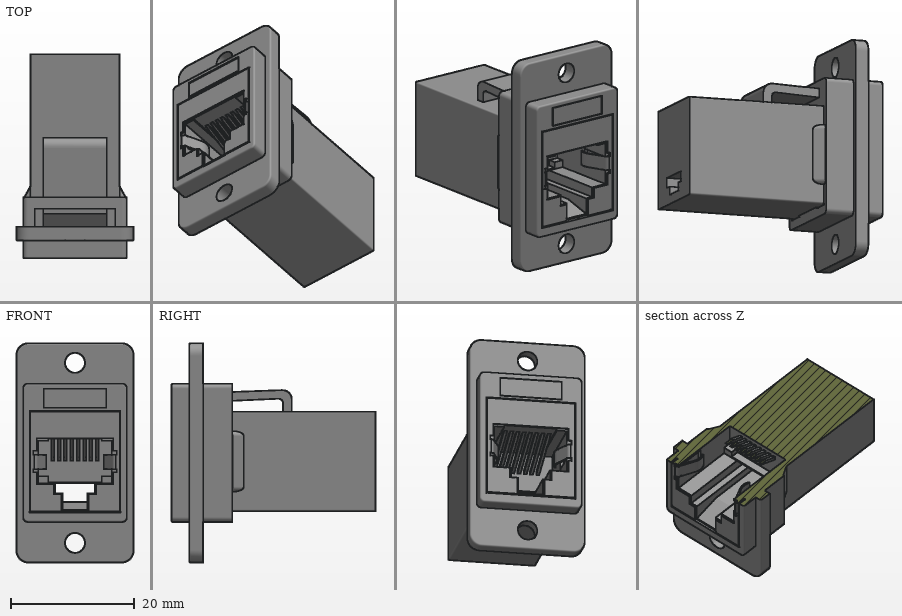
import cadquery as cq


FLANGE_WIDTH = 19.0
FLANGE_HEIGHT = 35.5
FLANGE_FRONT = 2.88
FLANGE_BACK = 5.15
FLANGE_CORNER = 2.0
SCREW_HOLE_DIAMETER = 3.2
SCREW_SPACING = 29.1
EDGE_ROUND = 0.3

BEZEL_WIDTH = 16.8
BEZEL_HEIGHT = 22.35
BEZEL_DEPTH = 9.87
BEZEL_CORNER = 0.78
LABEL_WIDTH = 10.1
LABEL_BOTTOM = 7.28
LABEL_TOP = 10.33
LABEL_DEPTH = 0.18

TOTAL_DEPTH = 33.0
BODY_WIDTH = 14.4
BODY_TOP = 6.67
BODY_BOTTOM = -9.45
CLEARANCE = 0.15
BOTTOM_CLEARANCE = 0.2
GROOVE_DEPTH = 1.42
SUPPORT_WIDTH = 8.1

CAVITY_WIDTH = 11.93
CAVITY_TOP = 2.27
CAVITY_FLOOR = -4.95
CAVITY_DEPTH = 12.78
LATCH_SLOT_WIDTH = 6.4
LATCH_SLOT_FLOOR = -6.55
KEY_SLOT_WIDTH = 4.0
KEY_SLOT_FLOOR = -7.9
RAMP_START = -9.2
RAMP_DEPTH = 4.97
MOUTH_STEP_SIDE = 0.25
MOUTH_STEP_HEIGHT = 0.1
MOUTH_STEP_TOP = 0.07
MOUTH_DEPTH = 0.3
CORNER_INNER = 4.33
CORNER_BLOCK_TOP = -3.75
UPPER_STRIP_BOTTOM = 2.0
BRIDGE_TOP = -4.72
REAR_BLOCK_DEPTH = 1.42

CONTACT_COUNT = 8
CONTACT_PITCH = 1.03
CONTACT_WIDTH = 0.5
CONTACT_TIP = -1.28
CONTACT_START = 2.85
CONTACT_THICKNESS = 0.55

NOTCH_HALF_WIDTH = 6.7
NOTCH_TOP = 0.32
NOTCH_BOTTOM = -3.15
NOTCH_DEPTH = 0.3
SPRING_CHANNEL_DEPTH = 5.68
SPRING_TOP = -0.32
SPRING_BOTTOM = -2.63
SPRING_THICKNESS = 0.25
SPRING_ROOT = 6.55
SPRING_FRONT = 0.07
SPRING_BEND = (6.05, 0.43)
SPRING_KNEE = (4.85, 3.0)
SPRING_APEX = (4.6, 4.1)

WING_TOP = 3.5
WING_BOTTOM = -6.3
WING_HALF_WIDTH = 8.15
WING_SLOPE_START = 9.95
WING_END = 11.7
WING_ROUND = 0.8

ARM_WIDTH = 10.3
ARM_REAR = 19.5
ARM_THICKNESS = 1.45
ARM_TOP_REAR = 10.22
ARM_TOP_FRONT = 9.75
ARM_NOSE = 7.2
ARM_OUTER_ROUND = 1.55
ARM_INNER_ROUND = 0.7
WINDOW_WIDTH = 13.05
WINDOW_FRONT = 4.25
WINDOW_BACK = 8.05


def box(x0, x1, y0, y1, z0, z1):
    """Block spanning the given ranges."""
    return cq.Workplane("XY").box(x1 - x0, y1 - y0, z1 - z0, centered=False).translate((x0, y0, z0))


def centred_box(width, y0, y1, z0, z1):
    """Block centred on X = 0."""
    return box(-width / 2, width / 2, y0, y1, z0, z1)


def both_sides(shape):
    """The shape together with its mirror image across X = 0."""
    return shape.union(shape.mirror("YZ"))


def side_profile(points, width, x=0.0):
    """Extrude a closed (y, z) outline along X, centred on x."""
    return cq.Workplane("YZ").polyline(points).close().extrude(width / 2, both=True).translate((x, 0, 0))


def rounded_plate(width, height, y0, y1, corner):
    """Plate with round corners and a softened front rim."""
    plate = centred_box(width, y0, y1, -height / 2, height / 2)
    return plate.edges("|Y").fillet(corner).faces("<Y").edges().fillet(EDGE_ROUND)


def make_flange():
    flange = rounded_plate(FLANGE_WIDTH, FLANGE_HEIGHT, FLANGE_FRONT, FLANGE_BACK, FLANGE_CORNER)
    for z in (-SCREW_SPACING / 2, SCREW_SPACING / 2):
        hole = cq.Workplane("XZ").center(0, z).circle(SCREW_HOLE_DIAMETER / 2).extrude(-FLANGE_BACK)
        flange = flange.cut(hole)
    return flange


def make_bezel():
    bezel = rounded_plate(BEZEL_WIDTH, BEZEL_HEIGHT, 0, BEZEL_DEPTH, BEZEL_CORNER)
    return bezel.cut(centred_box(LABEL_WIDTH, 0, LABEL_DEPTH, LABEL_BOTTOM, LABEL_TOP))


def make_clearance():
    """Groove around the jack, open to the rear on either side of a support below it."""
    opening_width = BODY_WIDTH + 2 * CLEARANCE
    opening_bottom = BODY_BOTTOM - BOTTOM_CLEARANCE
    groove = centred_box(opening_width, 0, GROOVE_DEPTH, BODY_BOTTOM, BODY_TOP + CLEARANCE)
    groove = groove.cut(centred_box(BODY_WIDTH, 0, GROOVE_DEPTH, BODY_BOTTOM, BODY_TOP))
    gap = centred_box(opening_width, 0, BEZEL_DEPTH, opening_bottom, BODY_BOTTOM)
    support = centred_box(SUPPORT_WIDTH, GROOVE_DEPTH, BEZEL_DEPTH, opening_bottom, BODY_BOTTOM)
    return groove.union(gap).cut(support)


def make_body():
    """Jack body, sharp-edged inside the bezel and rounded behind it."""
    front = centred_box(BODY_WIDTH, 0, BEZEL_DEPTH, BODY_BOTTOM, BODY_TOP)
    rear = centred_box(BODY_WIDTH, BEZEL_DEPTH, TOTAL_DEPTH, BODY_BOTTOM, BODY_TOP)
    return front.union(rear.edges("|Y").fillet(EDGE_ROUND))


def make_mouth():
    """Shallow stepped mouth, slightly larger than the cavity behind it."""
    right = [
        (CAVITY_WIDTH / 2, CAVITY_TOP + MOUTH_STEP_TOP),
        (CAVITY_WIDTH / 2, CAVITY_FLOOR - MOUTH_STEP_HEIGHT),
        (LATCH_SLOT_WIDTH / 2, CAVITY_FLOOR - MOUTH_STEP_HEIGHT),
        (LATCH_SLOT_WIDTH / 2, LATCH_SLOT_FLOOR - MOUTH_STEP_HEIGHT),
        (KEY_SLOT_WIDTH / 2, LATCH_SLOT_FLOOR - MOUTH_STEP_HEIGHT),
        (KEY_SLOT_WIDTH / 2, BODY_BOTTOM),
    ]
    right = [(x + MOUTH_STEP_SIDE, z) for x, z in right]
    left = [(-x, z) for x, z in reversed(right)]
    return cq.Workplane("XZ").polyline(right + left).close().extrude(-MOUTH_DEPTH)


def make_cavity():
    """Plug cavity with side pockets for the springs and a key slot right through the body."""
    cavity = centred_box(CAVITY_WIDTH, 0, CAVITY_DEPTH, CAVITY_FLOOR, CAVITY_TOP)
    latch_slot = centred_box(LATCH_SLOT_WIDTH, 0, TOTAL_DEPTH, LATCH_SLOT_FLOOR, CAVITY_FLOOR)
    key_outline = [
        (0, LATCH_SLOT_FLOOR),
        (0, RAMP_START),
        (MOUTH_DEPTH, RAMP_START),
        (RAMP_DEPTH, KEY_SLOT_FLOOR),
        (TOTAL_DEPTH, KEY_SLOT_FLOOR),
        (TOTAL_DEPTH, LATCH_SLOT_FLOOR),
    ]
    cavity = cavity.union(latch_slot).union(side_profile(key_outline, KEY_SLOT_WIDTH)).union(make_mouth())
    upper_notch = box(0, NOTCH_HALF_WIDTH, 0, NOTCH_DEPTH, SPRING_TOP, NOTCH_TOP)
    lower_notch = box(0, NOTCH_HALF_WIDTH, 0, NOTCH_DEPTH, NOTCH_BOTTOM, SPRING_BOTTOM)
    channel = box(0, SPRING_ROOT, 0, SPRING_CHANNEL_DEPTH, SPRING_BOTTOM, SPRING_TOP)
    for pocket in (upper_notch, lower_notch, channel):
        cavity = cavity.union(both_sides(pocket))
    return cavity


def make_cavity_blocks():
    """Corner blocks and bridge at the rear of the cavity, and strips along its upper corners."""
    front = CAVITY_DEPTH - REAR_BLOCK_DEPTH
    wall = CAVITY_WIDTH / 2
    corner = box(CORNER_INNER, wall, front, CAVITY_DEPTH, CAVITY_FLOOR, CORNER_BLOCK_TOP)
    strip = box(CORNER_INNER, wall, MOUTH_DEPTH, CAVITY_DEPTH, UPPER_STRIP_BOTTOM, CAVITY_TOP)
    bridge = centred_box(2 * CORNER_INNER, front, CAVITY_DEPTH, CAVITY_FLOOR, BRIDGE_TOP)
    return both_sides(corner).union(both_sides(strip)).union(bridge)


def make_contacts():
    """Row of contacts sloping down from the ceiling to the rear wall."""
    outline = [
        (CONTACT_START, CAVITY_TOP),
        (CAVITY_DEPTH, CONTACT_TIP),
        (CAVITY_DEPTH, CONTACT_TIP + CONTACT_THICKNESS),
        (CONTACT_START, CAVITY_TOP + CONTACT_THICKNESS),
    ]
    contacts = cq.Workplane("XY")
    for i in range(CONTACT_COUNT):
        x = (i - (CONTACT_COUNT - 1) / 2) * CONTACT_PITCH
        contacts = contacts.add(side_profile(outline, CONTACT_WIDTH, x))
    return contacts.combine()


def make_springs():
    """Bent strips that lean inwards from the side channels and curve back at the end."""
    bend_x, bend_y = SPRING_BEND
    knee_x, knee_y = SPRING_KNEE
    apex_x, apex_y = SPRING_APEX
    end_y = 2 * apex_y - knee_y
    spring = (
        cq.Workplane("XY")
        .moveTo(knee_x, knee_y)
        .lineTo(bend_x, bend_y)
        .tangentArcPoint((SPRING_ROOT, SPRING_FRONT), relative=False)
        .lineTo(SPRING_ROOT, bend_y)
        .lineTo(knee_x + SPRING_THICKNESS, knee_y)
        .threePointArc((apex_x + SPRING_THICKNESS, apex_y), (knee_x + SPRING_THICKNESS, end_y))
        .lineTo(knee_x, end_y)
        .threePointArc((apex_x, apex_y), (knee_x, knee_y))
        .close()
        .extrude(SPRING_TOP - SPRING_BOTTOM)
    )
    return both_sides(spring.translate((0, 0, SPRING_BOTTOM)))


def make_wings():
    """Sloped catches on both sides of the body, just behind the bezel."""
    root = BODY_WIDTH / 4
    outline = [
        (root, BEZEL_DEPTH),
        (WING_HALF_WIDTH, BEZEL_DEPTH),
        (WING_HALF_WIDTH, WING_SLOPE_START),
        (BODY_WIDTH / 2, WING_END),
        (root, WING_END),
    ]
    wing = cq.Workplane("XY").polyline(outline).close().extrude(WING_TOP - WING_BOTTOM)
    slope_x = (WING_HALF_WIDTH + BODY_WIDTH / 2) / 2
    slope_y = (WING_SLOPE_START + WING_END) / 2
    for z in (0, WING_TOP - WING_BOTTOM):
        wing = wing.edges(cq.selectors.NearestToPointSelector((slope_x, slope_y, z))).fillet(WING_ROUND)
    return both_sides(wing.translate((0, 0, WING_BOTTOM)))


def make_arm():
    """Release arm: a leg on the body, a slightly falling beam and a sloped nose."""
    inner_rear = ARM_REAR - ARM_THICKNESS
    outline = [
        (ARM_REAR, BODY_TOP),
        (ARM_REAR, ARM_TOP_REAR),
        (ARM_NOSE, ARM_TOP_FRONT),
        (WINDOW_FRONT, BODY_TOP),
        (WINDOW_BACK, BODY_TOP),
        (WINDOW_BACK, ARM_TOP_FRONT - ARM_THICKNESS),
        (inner_rear, ARM_TOP_REAR - ARM_THICKNESS),
        (inner_rear, BODY_TOP),
    ]
    arm = side_profile(outline, ARM_WIDTH)
    outer_bend = cq.selectors.NearestToPointSelector((0, ARM_REAR, ARM_TOP_REAR))
    inner_bend = cq.selectors.NearestToPointSelector((0, inner_rear, ARM_TOP_REAR - ARM_THICKNESS))
    return arm.edges(outer_bend).fillet(ARM_OUTER_ROUND).edges(inner_bend).fillet(ARM_INNER_ROUND)


window = centred_box(WINDOW_WIDTH, WINDOW_FRONT, WINDOW_BACK, BODY_TOP, BEZEL_HEIGHT / 2)
housing = make_bezel().cut(window).union(make_flange())
housing = housing.cut(make_clearance()).union(make_body()).union(make_wings()).union(make_arm())
housing = housing.cut(make_cavity())
result = housing.union(make_cavity_blocks()).union(make_contacts()).union(make_springs())